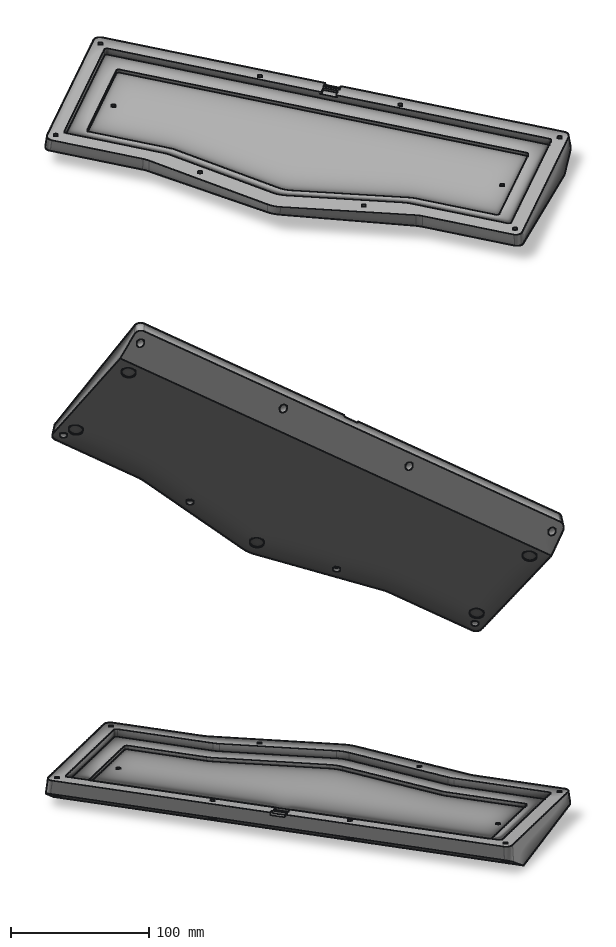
import cadquery as cq
import math

height = 21.82
draft_angle = 6.0
wall_spread = height * math.tan(math.radians(draft_angle))
rim_half_width = 180.03
rim_back_y = 71.34
rim_front_y = -49.3
wing_angle = 12.2
wing_half_width = 103.5
corner_radius = 5.0
bend_zone_half_width = 140.0
bend_radius = 23.0

tilt_angle = 7.0
ridge_y = 50.0
back_wall_height = 10.0

pocket_inset = 10.7
pocket_depth = 5.9
well_step = 13.2
well_inset = pocket_inset + well_step
well_depth = pocket_depth + 3.0
pocket_corner_radius = 2.0
pocket_bend_half_width = 91.0

screw_diameter = 3.2
screw_head_diameter = 5.5
screw_seat_depth = 5.0
corner_screw_x = 174.0
back_screw_x = 53.2
front_screw_x = 62.0
back_screw_y = 64.4
corner_front_screw_y = -42.8
front_screw_y = -51.0

standoff_hole_diameter = 3.2
standoff_hole_depth = 2.0
standoff_hole_x = 147.3
standoff_hole_y = 11.0

foot_diameter = 10.5
foot_recess_depth = 1.0
foot_x = 169.5
back_foot_y = 40.5
front_foot_y = -33.0
tip_foot_y = -60.0

plug_half_width = 6.0
plug_depth = 2.0
plug_corner_radius = 1.5
plug_end_y = 67.5
notch_half_width = 5.5
notch_depth = 2.0
notch_end_y = 65.6
notch_mouth_radius = 1.0


def outline_points(inset, bend_half_width):
    """Corners of the case outline moved inward by inset, its point beginning at bend_half_width."""
    half_width = rim_half_width - inset
    back_y = rim_back_y - inset
    front_y = rim_front_y + inset
    tip_y = front_y - bend_half_width * math.tan(math.radians(wing_angle))
    return [
        (-half_width, back_y),
        (half_width, back_y),
        (half_width, front_y),
        (bend_half_width, front_y),
        (0, tip_y),
        (-bend_half_width, front_y),
        (-half_width, front_y),
    ]


def rounded_upright_edges(block, corner, bend):
    """Blend the four outer corners and the three bends of the front edge."""
    corners = block.edges("not #Z").filter(lambda edge: abs(edge.Center().x) > bend_zone_half_width)
    block = corners.fillet(corner)
    bends = block.edges("not #Z").filter(lambda edge: abs(edge.Center().x) < bend_zone_half_width)
    return bends.fillet(bend)


def case_shell():
    """Solid block of the case with its walls spreading outward below the rim."""
    spread_bend = wing_half_width + wall_spread * math.tan(math.radians(wing_angle / 2))
    block = (
        cq.Workplane("XY")
        .polyline(outline_points(0, wing_half_width))
        .close()
        .workplane(offset=-height)
        .polyline(outline_points(-wall_spread, spread_bend))
        .close()
        .loft(ruled=True)
    )
    return rounded_upright_edges(block, corner_radius, bend_radius)


def pocket(inset, depth):
    """Upright-walled pocket that follows the case outline at the given inset."""
    points = outline_points(inset, pocket_bend_half_width)
    block = cq.Workplane("XY").polyline(points).close().extrude(-depth)
    return rounded_upright_edges(block, pocket_corner_radius, bend_radius)


def long_slope_z(y):
    """Height of the long slope of the underside at y."""
    return -height + (ridge_y - y) * math.tan(math.radians(tilt_angle))


def side_profile():
    """Block wider than the case whose underside has the long slope, the ridge and the back slope."""
    back_y = rim_back_y + back_wall_height * math.tan(math.radians(draft_angle))
    beyond_back_y = rim_back_y + wall_spread
    beyond_front_y = -rim_half_width
    points = [
        (beyond_back_y, -back_wall_height),
        (back_y, -back_wall_height),
        (ridge_y, -height),
        (beyond_front_y, long_slope_z(beyond_front_y)),
        (beyond_front_y, height),
        (beyond_back_y, height),
    ]
    return cq.Workplane("YZ").polyline(points).close().extrude(2 * rim_half_width, both=True)


def mirrored(x, y):
    """A pair of places at x either side of the middle."""
    return [(-x, y), (x, y)]


def screw_holes():
    """Holes through the rim, each widened from below for the screw head."""
    places = (
        mirrored(corner_screw_x, back_screw_y)
        + mirrored(back_screw_x, back_screw_y)
        + mirrored(corner_screw_x, corner_front_screw_y)
        + mirrored(front_screw_x, front_screw_y)
    )
    shanks = cq.Workplane("XY").pushPoints(places).circle(screw_diameter / 2).extrude(-height)
    heads = (
        cq.Workplane("XY", origin=(0, 0, -screw_seat_depth))
        .pushPoints(places)
        .circle(screw_head_diameter / 2)
        .extrude(-height)
    )
    return shanks.union(heads)


def standoff_holes():
    """Blind holes in the floor of the well."""
    return (
        cq.Workplane("XY", origin=(0, 0, -well_depth))
        .pushPoints(mirrored(standoff_hole_x, standoff_hole_y))
        .circle(standoff_hole_diameter / 2)
        .extrude(-standoff_hole_depth)
    )


def foot_recesses():
    """Round recesses in the long slope near the corners and the point."""
    places = mirrored(foot_x, back_foot_y) + mirrored(foot_x, front_foot_y) + [(0, tip_foot_y)]
    tilt = math.radians(tilt_angle)
    inward = cq.Vector(0, math.sin(tilt), math.cos(tilt))
    recesses = cq.Workplane("XY")
    for x, y in places:
        centre = cq.Vector(x, y, long_slope_z(y))
        start = centre - inward * foot_recess_depth
        recesses = recesses.add(
            cq.Solid.makeCylinder(foot_diameter / 2, 2 * foot_recess_depth, start, inward)
        )
    return recesses.combine()


def plug_recess():
    """Recess in the outside of the back rim with rounded bottom corners."""
    length = 2 * (rim_back_y - plug_end_y)
    return (
        cq.Workplane("XY")
        .center(0, plug_end_y + length / 2)
        .rect(2 * plug_half_width, length)
        .extrude(-plug_depth)
        .edges("|Y and <Z")
        .fillet(plug_corner_radius)
    )


def connector_notch():
    """Notch from the pocket into the back rim, its mouth rounded outward."""
    mouth_y = rim_back_y - pocket_inset
    flared = notch_half_width + notch_mouth_radius
    return (
        cq.Workplane("XY")
        .moveTo(-notch_half_width, notch_end_y)
        .lineTo(notch_half_width, notch_end_y)
        .lineTo(notch_half_width, mouth_y + notch_mouth_radius)
        .radiusArc((flared, mouth_y), -notch_mouth_radius)
        .lineTo(-flared, mouth_y)
        .radiusArc((-notch_half_width, mouth_y + notch_mouth_radius), -notch_mouth_radius)
        .close()
        .extrude(-notch_depth)
    )


result = (
    case_shell()
    .intersect(side_profile())
    .cut(pocket(pocket_inset, pocket_depth))
    .cut(pocket(well_inset, well_depth))
    .cut(screw_holes())
    .cut(standoff_holes())
    .cut(foot_recesses())
    .cut(plug_recess())
    .cut(connector_notch())
)